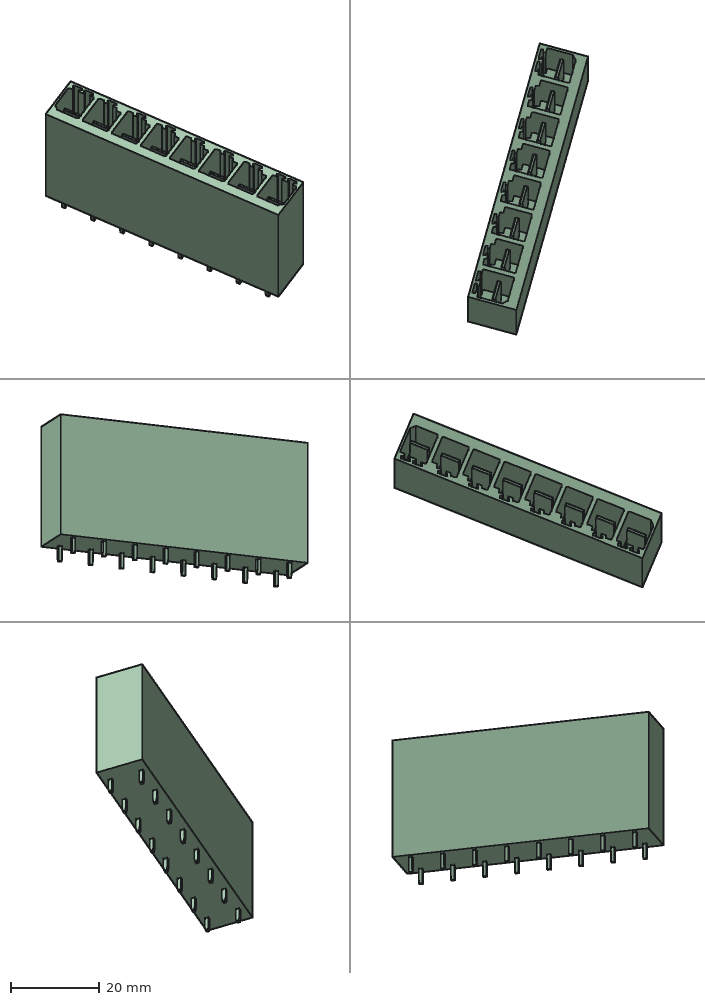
import cadquery as cq

LENGTH = 60.95
DEPTH = 11.4
HEIGHT = 28.35
BACK_Y = DEPTH / 2

POCKET_COUNT = 8
PITCH = 7.6
POCKET_HALF_WIDTH = 3.3
FLOOR_THICKNESS = 4.9
POCKET_FRONT_Y = BACK_Y - 8.95
CORNER_FILLET = 0.3
STEP_FILLET = 0.25

MIDDLE_HALF_WIDTH = 1.8
MIDDLE_LEFT_SHELF_Y = BACK_Y - 1.2
MIDDLE_SHELF_Y = BACK_Y - 1.75
MIDDLE_RIGHT_SHELF_Y = BACK_Y - 2.55

END_OUTER_HALF_WIDTH = 3.25
END_SLOT_OFFSET = 1.45
END_OUTER_SHELF_Y = BACK_Y - 1.95
END_INNER_SHELF_Y = BACK_Y - 1.6
END_CHAMFER = 1.05

SLOT_BACK_Y = BACK_Y - 0.7
SLOT_HEAD_DEPTH = 0.6
SLOT_HEAD_WIDTH = 2.3
SLOT_HEAD_FILLET = 0.25
SLOT_STEM_WIDTH = 1.3
STEM_FRONT_Y = MIDDLE_RIGHT_SHELF_Y

BLADE_WIDTH = 4.3
BLADE_THICKNESS = 0.9
BLADE_TOP = HEIGHT - 3.05
BLADE_TIP_BEVEL = 0.2
BLADE_TIP_HEIGHT = 0.6
BRIDGE_BOTTOM = 1.2
BRIDGE_HEIGHT = 1.8
PIN_THICKNESS = 0.8
PIN_WIDTH = 0.9
PIN_SPACING = 7.7
PIN_LENGTH = 3.5
PIN_TIP_BEVEL = 0.15
PIN_TIP_HEIGHT = 0.9


def block(x_min, x_max, y_min, y_max, z_min, z_max):
    """Box given by its limits along each axis."""
    size = (x_max - x_min, y_max - y_min, z_max - z_min)
    return cq.Workplane("XY").box(*size, centered=False).translate((x_min, y_min, z_min))


def pocket_block(x_min, x_max, y_min, y_max):
    """Box from the pocket floor to the top of the housing."""
    return block(x_min, x_max, y_min, y_max, FLOOR_THICKNESS, HEIGHT)


def keying_slot(x):
    """T-shaped slot at x, its stem reaching forward into the open pocket."""
    head_front_y = SLOT_BACK_Y - SLOT_HEAD_DEPTH
    half_head = SLOT_HEAD_WIDTH / 2
    half_stem = SLOT_STEM_WIDTH / 2
    head = pocket_block(x - half_head, x + half_head, head_front_y, SLOT_BACK_Y)
    head = head.edges("|Z").fillet(SLOT_HEAD_FILLET)
    stem = pocket_block(x - half_stem, x + half_stem, STEM_FRONT_Y, SLOT_BACK_Y)
    return head.union(stem)


def pocket_prism(outline):
    """Extrude a pocket outline from the floor to the top of the housing."""
    return (
        cq.Workplane("XY", origin=(0, 0, FLOOR_THICKNESS))
        .polyline(outline)
        .close()
        .extrude(HEIGHT - FLOOR_THICKNESS)
    )


def middle_pocket():
    """Pocket with three stepped shelves and one keying slot."""
    outline = [
        (-POCKET_HALF_WIDTH, POCKET_FRONT_Y),
        (POCKET_HALF_WIDTH, POCKET_FRONT_Y),
        (POCKET_HALF_WIDTH, MIDDLE_RIGHT_SHELF_Y),
        (MIDDLE_HALF_WIDTH, MIDDLE_RIGHT_SHELF_Y),
        (MIDDLE_HALF_WIDTH, MIDDLE_SHELF_Y),
        (-MIDDLE_HALF_WIDTH, MIDDLE_SHELF_Y),
        (-MIDDLE_HALF_WIDTH, MIDDLE_LEFT_SHELF_Y),
        (-POCKET_HALF_WIDTH, MIDDLE_LEFT_SHELF_Y),
    ]
    body = pocket_prism(outline)
    body = body.edges("|Z and (<X or >X)").fillet(CORNER_FILLET)
    for step_x in (-MIDDLE_HALF_WIDTH, MIDDLE_HALF_WIDTH):
        step = cq.selectors.BoxSelector(
            (step_x - STEP_FILLET, POCKET_FRONT_Y, 0),
            (step_x + STEP_FILLET, BACK_Y, HEIGHT),
        )
        body = body.edges("|Z").edges(step).fillet(STEP_FILLET)
    return body.union(keying_slot(0))


def left_end_pocket():
    """Pocket for the -X end, with two keying slots and a bevelled outer corner."""
    stem_edge = END_SLOT_OFFSET - SLOT_STEM_WIDTH / 2
    outer_stem_edge = END_SLOT_OFFSET + SLOT_STEM_WIDTH / 2
    outline = [
        (-END_OUTER_HALF_WIDTH, POCKET_FRONT_Y),
        (POCKET_HALF_WIDTH, POCKET_FRONT_Y),
        (POCKET_HALF_WIDTH, END_INNER_SHELF_Y),
        (stem_edge, END_INNER_SHELF_Y),
        (stem_edge, MIDDLE_SHELF_Y),
        (-outer_stem_edge, MIDDLE_SHELF_Y),
        (-outer_stem_edge, END_OUTER_SHELF_Y),
        (-END_OUTER_HALF_WIDTH, END_OUTER_SHELF_Y),
    ]
    body = pocket_prism(outline)
    body = body.edges("|Z and >X").fillet(CORNER_FILLET)
    body = body.edges("|Z and <X").edges(">Y").fillet(CORNER_FILLET)
    body = body.edges("|Z and <X").chamfer(END_CHAMFER)
    for x in (-END_SLOT_OFFSET, END_SLOT_OFFSET):
        body = body.union(keying_slot(x))
    return body


def blade():
    """Contact blade standing on the bridge, its tip bevelled on both broad faces."""
    half = BLADE_THICKNESS / 2
    tip_half = half - BLADE_TIP_BEVEL
    shoulder = BLADE_TOP - BLADE_TIP_HEIGHT
    outline = [
        (-half, BRIDGE_BOTTOM),
        (half, BRIDGE_BOTTOM),
        (half, shoulder),
        (tip_half, BLADE_TOP),
        (-tip_half, BLADE_TOP),
        (-half, shoulder),
    ]
    return cq.Workplane("YZ").polyline(outline).close().extrude(BLADE_WIDTH / 2, both=True)


def solder_pin(y):
    """Solder pin at y, from the bridge down to its tapered tip below the housing."""
    half = PIN_WIDTH / 2
    tip_half = half - PIN_TIP_BEVEL
    bridge_top = BRIDGE_BOTTOM + BRIDGE_HEIGHT
    shoulder = PIN_TIP_HEIGHT - PIN_LENGTH
    outline = [
        (y - half, bridge_top),
        (y + half, bridge_top),
        (y + half, shoulder),
        (y + tip_half, -PIN_LENGTH),
        (y - tip_half, -PIN_LENGTH),
        (y - half, shoulder),
    ]
    return cq.Workplane("YZ").polyline(outline).close().extrude(PIN_THICKNESS / 2, both=True)


def terminal(x):
    """One terminal at x: blade, bridge and both solder pins as a single solid."""
    half_thickness = PIN_THICKNESS / 2
    half_spacing = PIN_SPACING / 2
    bridge_top = BRIDGE_BOTTOM + BRIDGE_HEIGHT
    body = block(-half_thickness, half_thickness, -half_spacing, half_spacing, BRIDGE_BOTTOM, bridge_top)
    body = body.union(blade())
    for y in (-half_spacing, half_spacing):
        body = body.union(solder_pin(y))
    return body.translate((x, 0, 0))


def housing_block(pocket_places):
    """Housing with its row of pockets, before the terminals are seated."""
    body = block(-LENGTH / 2, LENGTH / 2, -DEPTH / 2, DEPTH / 2, 0, HEIGHT)
    for x in pocket_places[1:-1]:
        body = body.cut(middle_pocket().translate((x, 0, 0)))
    left_end = left_end_pocket().translate((pocket_places[0], 0, 0))
    return body.cut(left_end).cut(left_end.mirror("YZ"))


places = [(i - (POCKET_COUNT - 1) / 2) * PITCH for i in range(POCKET_COUNT)]
terminals = [terminal(x) for x in places]

housing = housing_block(places)
for seated_terminal in terminals:
    housing = housing.cut(seated_terminal)

result = cq.Compound.makeCompound([housing.val(), *[t.val() for t in terminals]])